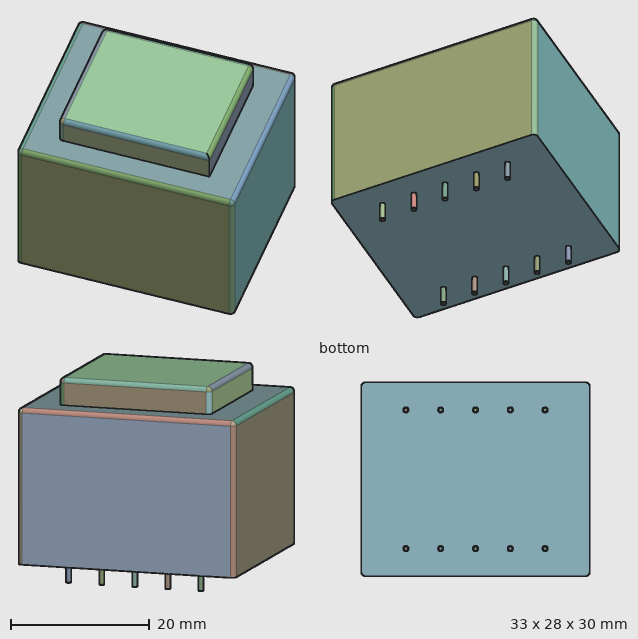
import cadquery as cq

BODY_LENGTH = 33.0
BODY_WIDTH = 28.02
BODY_HEIGHT = 23.0

BLOCK_LENGTH = 23.0
BLOCK_WIDTH = 20.0
BLOCK_HEIGHT = 4.0

EDGE_RADIUS = 0.7

PIN_DIAMETER = 0.8
PIN_LENGTH = 3.0
PIN_TIP_CHAMFER = 0.1
PIN_PITCH = 5.0
PINS_PER_ROW = 5
ROW_COUNT = 2
ROW_SPACING = 20.0


def make_body():
    """Box with rounded upright and top edges and a sharp bottom rim."""
    body = cq.Workplane("XY").box(BODY_LENGTH, BODY_WIDTH, BODY_HEIGHT, centered=(True, True, False))
    return body.edges("|Z or >Z").fillet(EDGE_RADIUS)


def make_block():
    """Rounded raised block; its upright edge at +X, -Y stays sharp."""
    block = (
        cq.Workplane("XY", origin=(0, 0, BODY_HEIGHT))
        .box(BLOCK_LENGTH, BLOCK_WIDTH, BLOCK_HEIGHT, centered=(True, True, False))
    )
    rounded_uprights = block.edges("|Z").edges("not(>X and <Y)")
    return block.edges(">Z").add(rounded_uprights).fillet(EDGE_RADIUS)


def make_pins():
    """Round pins with chamfered tips, hanging down from the body."""
    return (
        cq.Workplane("XY")
        .rarray(PIN_PITCH, ROW_SPACING, PINS_PER_ROW, ROW_COUNT)
        .circle(PIN_DIAMETER / 2)
        .extrude(-PIN_LENGTH)
        .faces("<Z")
        .edges()
        .chamfer(PIN_TIP_CHAMFER)
    )


result = make_body().union(make_block()).union(make_pins())